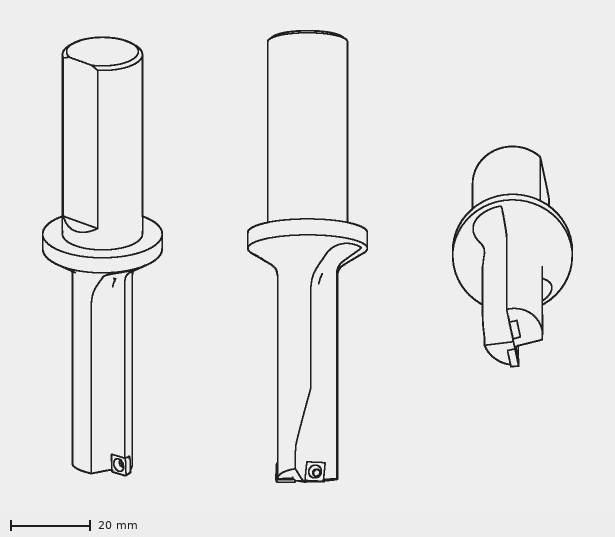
import cadquery as cq
import math

total_height = 114.0

shank_radius = 10.0
shank_chamfer_width = 1.0
shank_chamfer_height = 0.8
flat_distance = 8.2
flat_bottom_z = 70.0

flange_radius = 30.0 / 2
flange_top_z = 64.2
flange_bottom_z = 60.1
drill_radius = 7.5
cone_bottom_z = 55.2
neck_fillet = 3.8
selection_margin = 0.1

ridge_z = 0.5
tip_angle = 10.3

flute_wall_offset = 2.6
flute_runout_z = 48.0
flute_runout_radius = 11.4
flute_corner_radius = 0.5
rear_taper_top_z = 22.3
rear_taper_bottom_z = 7.6
rear_wall_shift = 3.9
rear_upper_blend = 6.8
rear_lower_blend = 10.6
clearance = 22.8

insert_size = 4.8
insert_thickness = 1.9
insert_corner_radius = 0.3
insert_relief = 7.0
insert_hole = 1.8
insert_countersink = 3.3
countersink_angle = 60.0
outer_insert_x = 5.5
outer_insert_z = 2.6
outer_insert_tilt = 3.0
inner_insert_x = -1.9
inner_insert_tilt = 6.0
inner_tilt_radians = math.radians(inner_insert_tilt)
inner_insert_z = (
    (insert_size / 2 - insert_corner_radius)
    * (math.cos(inner_tilt_radians) + math.sin(inner_tilt_radians))
    + insert_corner_radius
)


def turned_blank():
    """Shank, flange, cone and drill body as one turned shape."""
    profile = (
        cq.Workplane("XZ")
        .moveTo(0, 0)
        .lineTo(drill_radius, 0)
        .lineTo(drill_radius, cone_bottom_z)
        .lineTo(flange_radius, flange_bottom_z)
        .lineTo(flange_radius, flange_top_z)
        .lineTo(shank_radius, flange_top_z)
        .lineTo(shank_radius, total_height - shank_chamfer_height)
        .lineTo(shank_radius - shank_chamfer_width, total_height)
        .lineTo(0, total_height)
        .close()
    )
    blank = profile.revolve(360, (0, 0, 0), (0, 1, 0))
    neck_edge = cq.selectors.BoxSelector(
        (-flange_radius, -flange_radius, cone_bottom_z - selection_margin),
        (flange_radius, flange_radius, cone_bottom_z + selection_margin),
    )
    return blank.edges("%CIRCLE").edges(neck_edge).fillet(neck_fillet)


def shank_flat():
    """Material removed for the flat, ending in a 45 degree slope."""
    return (
        cq.Workplane("YZ")
        .moveTo(-flat_distance, total_height + clearance)
        .lineTo(-flat_distance, flat_bottom_z)
        .lineTo(-flat_distance - clearance, flat_bottom_z - clearance)
        .lineTo(-flat_distance - clearance, total_height + clearance)
        .close()
        .extrude(clearance, both=True)
        .intersect(
            cq.Workplane("XY", origin=(0, 0, flange_top_z))
            .rect(4 * clearance, 4 * clearance)
            .extrude(total_height)
        )
    )


def tip_below_roof():
    """Material removed below the two sloping faces of the tip."""
    roof_edge_z = ridge_z + clearance * math.tan(math.radians(tip_angle))
    return (
        cq.Workplane("YZ")
        .moveTo(0, ridge_z)
        .lineTo(clearance, roof_edge_z)
        .lineTo(clearance, -clearance)
        .lineTo(-clearance, -clearance)
        .lineTo(-clearance, roof_edge_z)
        .close()
        .extrude(clearance, both=True)
    )


def flute(wall_points):
    """Flute in the +X, -Y quadrant; wall_points run down its wall below the curved run-out."""
    arc_center_x = flute_wall_offset + flute_runout_radius
    arc_top_z = flute_runout_z + flute_runout_radius
    arc_leg = flute_runout_radius * math.sqrt(0.5)
    outline = (
        cq.Workplane("XZ")
        .moveTo(arc_center_x + clearance, arc_top_z)
        .lineTo(arc_center_x, arc_top_z)
        .threePointArc(
            (arc_center_x - arc_leg, flute_runout_z + arc_leg),
            (flute_wall_offset, flute_runout_z),
        )
    )
    for point in wall_points:
        outline = outline.lineTo(*point)
    return outline.lineTo(arc_center_x + clearance, -clearance).close().extrude(clearance)


def front_flute():
    straight_wall = [(flute_wall_offset, -clearance)]
    return flute(straight_wall).faces(">Y").edges().fillet(flute_corner_radius)


def rear_flute():
    """Opposite flute, widened past the axis near the tip to seat the inner insert."""
    lower_wall = flute_wall_offset - rear_wall_shift
    stepped_wall = [
        (flute_wall_offset, rear_taper_top_z),
        (lower_wall, rear_taper_bottom_z),
        (lower_wall, -clearance),
    ]
    bends = [
        (flute_wall_offset, rear_taper_top_z, rear_upper_blend),
        (lower_wall, rear_taper_bottom_z, rear_lower_blend),
    ]
    cutter = flute(stepped_wall)
    for x, z, radius in bends:
        bend_edge = cq.selectors.NearestToPointSelector((x, -clearance / 2, z))
        cutter = cutter.edges("|Y").edges(bend_edge).fillet(radius)
    cutter = cutter.faces(">Y").edges().fillet(flute_corner_radius)
    return cutter.rotate((0, 0, 0), (0, 0, 1), 180)


def insert_blank():
    """Square insert with relieved sides; its cutting face lies at Y = 0 and faces -Y."""
    return (
        cq.Workplane("XZ")
        .sketch()
        .rect(insert_size, insert_size)
        .vertices()
        .fillet(insert_corner_radius)
        .finalize()
        .extrude(-insert_thickness, taper=insert_relief)
    )


def drilled_insert():
    """Insert with its countersunk screw hole."""
    return (
        insert_blank()
        .faces("<Y")
        .workplane(centerOption="CenterOfBoundBox")
        .cskHole(insert_hole, insert_countersink, countersink_angle)
    )


def place_outer(insert):
    tilted = insert.rotate((0, 0, 0), (0, 1, 0), -outer_insert_tilt)
    return tilted.translate((outer_insert_x, 0, outer_insert_z))


def place_inner(insert):
    turned = insert.rotate((0, 0, 0), (0, 0, 1), 180)
    tilted = turned.rotate((0, 0, 0), (0, 1, 0), -inner_insert_tilt)
    return tilted.translate((inner_insert_x, 0, inner_insert_z))


def make_holder():
    """Drill holder with flutes and an insert-shaped seat in each flute floor."""
    holder = turned_blank().cut(shank_flat()).cut(tip_below_roof())
    holder = holder.cut(front_flute()).cut(rear_flute())
    for place in (place_outer, place_inner):
        holder = holder.cut(place(insert_blank()))
    return holder


holder = make_holder()
inserts = [place(drilled_insert()).solids().val() for place in (place_outer, place_inner)]

result = cq.Compound.makeCompound([holder.solids().val(), *inserts])